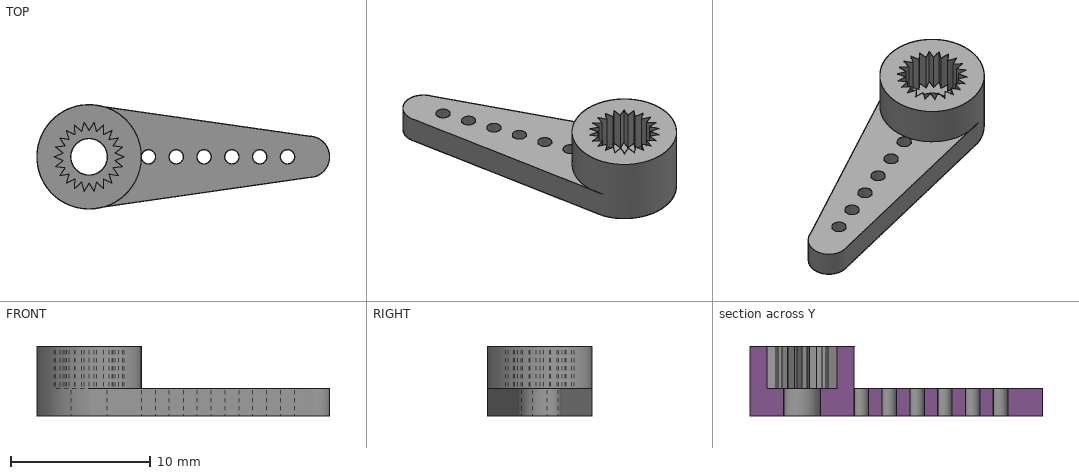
import cadquery as cq
import math

total_length = 21.0
hub_diameter = 7.5
hub_height = 5.0
hub_radius = hub_diameter / 2

arm_thickness = 2.0
tip_radius = 1.5
tip_center_x = total_length - hub_radius - tip_radius

tooth_count = 22
spline_outer_radius = 2.5
spline_inner_radius = 1.9
spline_depth = hub_height - arm_thickness
bore_diameter = 2.6

hole_count = 6
hole_diameter = 1.0
hole_pitch = 2.0
first_hole_x = hub_radius + hole_diameter / 2


def make_arm():
    """Half disc under the hub, straight tapering sides and a semicircular tip."""
    return (
        cq.Workplane("XY")
        .moveTo(0, hub_radius)
        .threePointArc((-hub_radius, 0), (0, -hub_radius))
        .lineTo(tip_center_x, -tip_radius)
        .threePointArc((tip_center_x + tip_radius, 0), (tip_center_x, tip_radius))
        .close()
        .extrude(arm_thickness)
    )


def make_hub():
    """Round hub standing on the arm."""
    return (
        cq.Workplane("XY", origin=(0, 0, arm_thickness))
        .circle(hub_radius)
        .extrude(hub_height - arm_thickness)
    )


def make_spline_cutter():
    """Star-shaped socket with one outward point on the +X axis."""
    half_pitch = math.pi / tooth_count
    points = []
    for i in range(2 * tooth_count):
        radius = spline_outer_radius if i % 2 == 0 else spline_inner_radius
        angle = i * half_pitch
        points.append((radius * math.cos(angle), radius * math.sin(angle)))
    return (
        cq.Workplane("XY", origin=(0, 0, hub_height))
        .polyline(points)
        .close()
        .extrude(-spline_depth)
    )


def make_bore_cutter():
    """Round bore through the whole hub."""
    return cq.Workplane("XY").circle(bore_diameter / 2).extrude(hub_height)


def make_hole_cutters():
    """Evenly spaced holes through the arm."""
    centers = [(first_hole_x + i * hole_pitch, 0) for i in range(hole_count)]
    return (
        cq.Workplane("XY")
        .pushPoints(centers)
        .circle(hole_diameter / 2)
        .extrude(arm_thickness)
    )


body = make_arm().union(make_hub())
result = body.cut(make_spline_cutter()).cut(make_bore_cutter()).cut(make_hole_cutters())